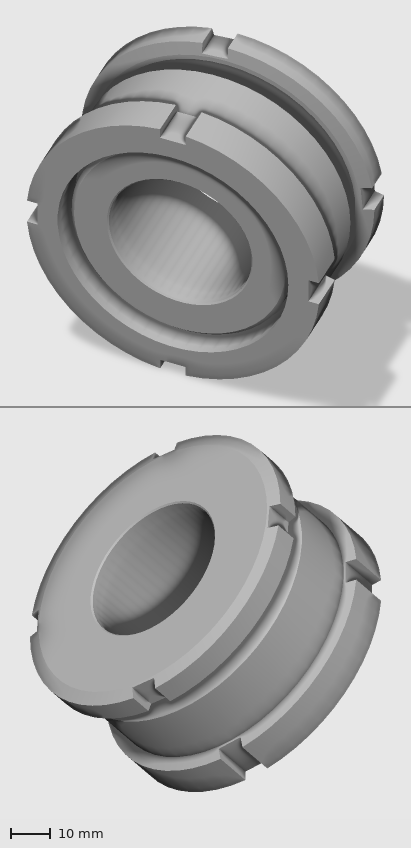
import cadquery as cq
import math


flange_radius = 40.0
edge_slope = math.tan(math.radians(15))
thread_radius = 30.0
slot_width = 7.0
slot_floor_radius = 37.0
slot_count = 4
slot_overcut = 1.0

nut_flange_height = 11.0
nut_body_radius = 36.5
nut_height = 31.1
nut_top_chamfer = 3.3
recess_radius = 31.5
recess_depth = nut_flange_height

screw_top = 41.93
screw_flange_height = 8.0
screw_flange_bottom = screw_top - screw_flange_height
screw_face_radius = 36.5
neck_radius = 28.5
neck_bottom = 32.15
blend_radius = 0.6
runout_angle = math.radians(45)
relief_radius = 35.2
relief_depth = 1.0
screw_front = 4.3
screw_end_chamfer = 1.15
bore_radius = 19.5
bore_chamfer = 0.4
screw_turn = 5.0


def revolve_about_y(profile):
    """Turn a closed (radius, Y) profile once around the Y axis."""
    return profile.close().revolve(360, (0, 0, 0), (0, 1, 0))


def cut_slots(body, start, end):
    """Cut the spanner slots through the rim between two Y positions."""
    slot_depth = flange_radius - slot_floor_radius + slot_overcut
    for index in range(slot_count):
        slot = (
            cq.Workplane("XY")
            .box(slot_width, end - start, slot_depth, centered=(True, False, False))
            .translate((0, start, slot_floor_radius))
            .rotate((0, 0, 0), (0, 1, 0), index * 360 / slot_count)
        )
        body = body.cut(slot)
    return body


def make_nut():
    """Round nut with a slotted flange, a threaded bore and a front recess."""
    flange_edge_drop = (flange_radius - nut_body_radius) * edge_slope
    profile = (
        cq.Workplane("XY")
        .moveTo(recess_radius, 0)
        .lineTo(flange_radius, 0)
        .lineTo(flange_radius, nut_flange_height - flange_edge_drop)
        .lineTo(nut_body_radius, nut_flange_height)
        .lineTo(nut_body_radius, nut_height - nut_top_chamfer)
        .lineTo(nut_body_radius - nut_top_chamfer, nut_height)
        .lineTo(thread_radius, nut_height)
        .lineTo(thread_radius, recess_depth)
        .lineTo(recess_radius, recess_depth)
    )
    return cut_slots(revolve_about_y(profile), 0, nut_flange_height)


def make_screw():
    """Hollow screw with a slotted flange, turned slightly against the nut."""
    flange_edge_drop = (flange_radius - screw_face_radius) * edge_slope
    blend_mid = (
        neck_radius + blend_radius * (1 - math.cos(runout_angle / 2)),
        neck_bottom - blend_radius * math.sin(runout_angle / 2),
    )
    blend_end = (
        neck_radius + blend_radius * (1 - math.cos(runout_angle)),
        neck_bottom - blend_radius * math.sin(runout_angle),
    )
    runout_drop = (thread_radius - blend_end[0]) / math.tan(runout_angle)
    relief_floor = screw_flange_bottom + relief_depth
    profile = (
        cq.Workplane("XY")
        .moveTo(bore_radius + bore_chamfer, screw_front)
        .lineTo(thread_radius - screw_end_chamfer, screw_front)
        .lineTo(thread_radius, screw_front + screw_end_chamfer)
        .lineTo(thread_radius, blend_end[1] - runout_drop)
        .lineTo(*blend_end)
        .threePointArc(blend_mid, (neck_radius, neck_bottom))
        .lineTo(neck_radius, relief_floor)
        .lineTo(relief_radius, relief_floor)
        .lineTo(relief_radius, screw_flange_bottom)
        .lineTo(screw_face_radius, screw_flange_bottom)
        .lineTo(flange_radius, screw_flange_bottom + flange_edge_drop)
        .lineTo(flange_radius, screw_top - flange_edge_drop)
        .lineTo(screw_face_radius, screw_top)
        .lineTo(bore_radius + bore_chamfer, screw_top)
        .lineTo(bore_radius, screw_top - bore_chamfer)
        .lineTo(bore_radius, screw_front + bore_chamfer)
    )
    screw = cut_slots(revolve_about_y(profile), screw_flange_bottom, screw_top)
    return screw.rotate((0, 0, 0), (0, 1, 0), -screw_turn)


nut = make_nut()
screw = make_screw()
result = cq.Compound.makeCompound([nut.val(), screw.val()])